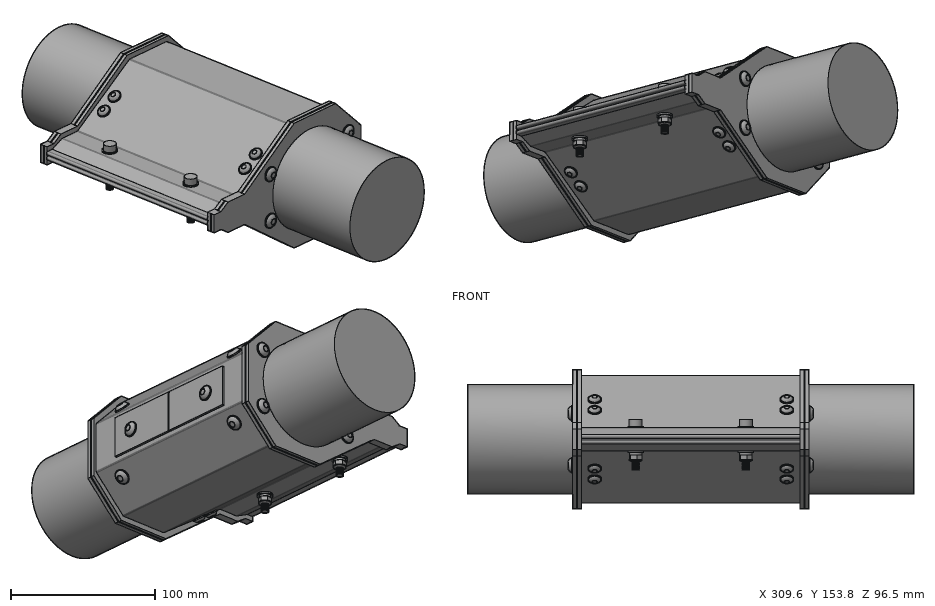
import cadquery as cq
import math

pipe_length = 309.58
pipe_diameter = 76.2

body_length = 151.6
body_half_height = 44.35
body_back_y = 50.0
body_crown_back_y = 24.5
body_crown_front_y = -13.7
neck_half_height = 8.0
neck_back_y = -67.0
neck_front_y = -82.7
lip_half_height = 3.3
lip_back_y = -92.9
nose_y = -98.8
lip_gap = 1.0
bend_radius = 1.2

plate_pack = 6.2
plate_half_height = 48.26
plate_back_y = 52.2
plate_crown_back_y = 26.2
plate_crown_front_y = -16.2
plate_neck_half_height = 11.77
plate_neck_back_y = -66.9
plate_neck_front_y = -83.9
plate_lip_half_height = 7.0
plate_lip_back_y = -91.1
plate_nose_y = -98.1
seam_width = 0.6
seam_depth = 0.3

large_button = (11.0, 10.13, 3.3, 4.0)
small_button = (9.5, 8.5, 2.9, 3.2)
rim_height = 0.9
dome_lean = 0.78
dome_rise = 0.65
socket_depth = 0.3

end_screw_places = [(38.5, 21.8), (-40.8, 18.0)]

slope_screw_x = 66.7
slope_screw_places_y = (-38.7, -49.6)
bevel_screw_x = 57.3
bevel_screw_y = 42.3

cover_length = 54.5
cover_gap = 1.0
cover_height = 30.0
cover_outer_y = 51.68
back_screw_x = 38.2

bolt_x = 38.2
bolt_y = -74.7
bolt_flange_diameter = 11.0
bolt_flange_height = 0.8
bolt_head_diameter = 9.0
bolt_head_top_z = 13.7
washer_diameter = 11.0
washer_height = 1.2
nut_collar_diameter = 8.5
nut_width = 8.0
nut_turn_degrees = 40
nut_top_z = -10.8
nut_bottom_z = -14.2
nut_ring_diameter = 9.0
nut_ring_height = 0.6
stud_diameter = 5.3
thread_root_diameter = 4.5
thread_top_z = -15.6
thread_pitch = 0.8
thread_turns = 7


def make_body():
    """Housing body: folded sheet profile ending in two rounded lips with a gap between them."""
    body_bevel_z = body_crown_back_y + body_half_height - body_back_y
    gap_half = lip_gap / 2
    lip_radius = (lip_half_height - gap_half) / 2
    lip_tip = (nose_y, gap_half + lip_radius)
    lip_round_y = nose_y + lip_radius
    body = (
        cq.Workplane("YZ")
        .moveTo(body_back_y, -body_bevel_z)
        .lineTo(body_back_y, body_bevel_z)
        .lineTo(body_crown_back_y, body_half_height)
        .lineTo(body_crown_front_y, body_half_height)
        .lineTo(neck_back_y, neck_half_height)
        .lineTo(neck_front_y, neck_half_height)
        .lineTo(lip_back_y, lip_half_height)
        .lineTo(lip_round_y, lip_half_height)
        .threePointArc(lip_tip, (lip_round_y, gap_half))
        .lineTo(lip_back_y, gap_half)
        .lineTo(lip_back_y, -gap_half)
        .lineTo(lip_round_y, -gap_half)
        .threePointArc((lip_tip[0], -lip_tip[1]), (lip_round_y, -lip_half_height))
        .lineTo(lip_back_y, -lip_half_height)
        .lineTo(neck_front_y, -neck_half_height)
        .lineTo(neck_back_y, -neck_half_height)
        .lineTo(body_crown_front_y, -body_half_height)
        .lineTo(body_crown_back_y, -body_half_height)
        .close()
        .extrude(body_length / 2, both=True)
    )
    folds = cq.selectors.BoxSelector(
        (-body_length, lip_back_y + bend_radius, -body_half_height - bend_radius),
        (body_length, body_back_y + bend_radius, body_half_height + bend_radius),
    )
    return body.edges("|X").edges(folds).fillet(bend_radius)


def plate_outline():
    """Closed YZ outline of an end plate, mirrored about Z = 0."""
    upper_points = [
        (plate_back_y, plate_crown_back_y + plate_half_height - plate_back_y),
        (plate_crown_back_y, plate_half_height),
        (plate_crown_front_y, plate_half_height),
        (plate_neck_back_y, plate_neck_half_height),
        (plate_neck_front_y, plate_neck_half_height),
        (plate_lip_back_y, plate_lip_half_height),
        (plate_nose_y, plate_lip_half_height),
    ]
    lower_points = [(y, -z) for y, z in reversed(upper_points)]
    return cq.Workplane("YZ").polyline(upper_points + lower_points).close()


def flat_stretch(front_y, back_y):
    """Block over the full plate height where the seam is closed."""
    block = cq.Workplane("YZ").center((front_y + back_y) / 2, 0)
    return block.rect(back_y - front_y, 2 * plate_half_height).extrude(seam_width)


def make_end_plate():
    """End plate pack standing on the +X end of the body."""
    pack = plate_outline().extrude(plate_pack)
    core = plate_outline().offset2D(-seam_depth).extrude(seam_width)
    seam = plate_outline().extrude(seam_width).cut(core)
    seam = seam.cut(flat_stretch(plate_neck_front_y, plate_neck_back_y))
    seam = seam.cut(flat_stretch(plate_nose_y + seam_depth, plate_lip_back_y))
    plate = pack.cut(seam.translate(((plate_pack - seam_width) / 2, 0, 0)))
    return plate.translate((body_length / 2, 0, 0))


def button_head(size, origin, normal):
    """Rimmed domed screw head with a hex socket, seated at origin and facing along normal."""
    rim_diameter, dome_diameter, height, socket_size = size
    rim_radius = rim_diameter / 2
    dome_radius = dome_diameter / 2
    socket_corners = socket_size / math.cos(math.pi / 6)
    top_radius = socket_corners / 2
    dome_mid = (dome_lean * dome_radius, rim_height + dome_rise * (height - rim_height))
    dome = (
        cq.Workplane("XZ")
        .lineTo(rim_radius, 0)
        .lineTo(rim_radius, rim_height)
        .lineTo(dome_radius, rim_height)
        .threePointArc(dome_mid, (top_radius, height))
        .lineTo(0, height)
        .close()
        .revolve(360, (0, 0, 0), (0, 1, 0))
    )
    socket = cq.Workplane("XY").workplane(offset=height - socket_depth).polygon(6, socket_corners)
    head = dome.cut(socket.extrude(socket_depth)).val()
    x_direction = (0, 1, 0) if abs(normal[0]) > 0 else (1, 0, 0)
    seat = cq.Plane(origin=origin, xDir=x_direction, normal=normal)
    return cq.Workplane(head.moved(cq.Location(seat)))


def make_end_screws():
    """Screws on the outer faces of both end plates."""
    seat_x = body_length / 2 + plate_pack
    return [
        button_head(large_button, (side * seat_x, y, flip * z), (side, 0, 0))
        for side in (-1, 1)
        for flip in (-1, 1)
        for y, z in end_screw_places
    ]


def make_slope_screws():
    """Paired screws near both ends of the upper and lower front slopes."""
    rise = (body_half_height - neck_half_height) / (body_crown_front_y - neck_back_y)
    return [
        button_head(
            small_button,
            (side * slope_screw_x, y, flip * (neck_half_height + rise * (y - neck_back_y))),
            (0, -rise, flip),
        )
        for side in (-1, 1)
        for flip in (-1, 1)
        for y in slope_screw_places_y
    ]


def make_bevel_screws():
    """Screws on the 45 degree back bevels, above and below."""
    seat_z = body_crown_back_y + body_half_height - bevel_screw_y
    return [
        button_head(large_button, (side * bevel_screw_x, bevel_screw_y, flip * seat_z), (0, 1, flip))
        for side in (-1, 1)
        for flip in (-1, 1)
    ]


def make_back_covers():
    """Two strips side by side on the back face, each with its screw."""
    thickness = cover_outer_y - body_back_y
    strip = cq.Workplane("XY").box(cover_length, thickness, cover_height)
    parts = []
    for side in (-1, 1):
        centre_x = side * (cover_gap + cover_length) / 2
        parts.append(strip.translate((centre_x, body_back_y + thickness / 2, 0)))
        parts.append(button_head(large_button, (side * back_screw_x, cover_outer_y, 0), (0, 1, 0)))
    return parts


def make_clamp_bolt():
    """Flanged bolt through the neck with washer, hex nut and ring-grooved stud end."""
    flange_top_z = neck_half_height + bolt_flange_height
    washer_bottom_z = -neck_half_height - washer_height
    ring_bottom_z = nut_bottom_z - nut_ring_height
    crest_radius = stud_diameter / 2
    root_radius = thread_root_diameter / 2
    outline = [
        (0, bolt_head_top_z),
        (bolt_head_diameter / 2, bolt_head_top_z),
        (bolt_head_diameter / 2, flange_top_z),
        (bolt_flange_diameter / 2, flange_top_z),
        (bolt_flange_diameter / 2, neck_half_height),
        (crest_radius, neck_half_height),
        (crest_radius, -neck_half_height),
        (washer_diameter / 2, -neck_half_height),
        (washer_diameter / 2, washer_bottom_z),
        (nut_collar_diameter / 2, washer_bottom_z),
        (nut_collar_diameter / 2, nut_top_z),
        (crest_radius, nut_top_z),
        (crest_radius, nut_bottom_z),
        (nut_ring_diameter / 2, nut_bottom_z),
        (nut_ring_diameter / 2, ring_bottom_z),
        (crest_radius, thread_top_z),
    ]
    for turn in range(thread_turns):
        crest_z = thread_top_z - turn * thread_pitch
        outline.append((root_radius, crest_z - thread_pitch / 2))
        outline.append((crest_radius, crest_z - thread_pitch))
    outline.append((0, thread_top_z - thread_turns * thread_pitch))
    bolt = cq.Workplane("XZ").polyline(outline).close().revolve(360, (0, 0, 0), (0, 1, 0))
    nut_corners = nut_width / math.cos(math.pi / 6)
    nut = cq.Workplane("XY").workplane(offset=nut_bottom_z).polygon(6, nut_corners)
    nut = nut.extrude(nut_top_z - nut_bottom_z).rotate((0, 0, 0), (0, 0, 1), nut_turn_degrees)
    return bolt.union(nut).translate((0, bolt_y, 0))


pipe = cq.Workplane("YZ").circle(pipe_diameter / 2).extrude(pipe_length / 2, both=True)
end_plate = make_end_plate()
clamp_bolt = make_clamp_bolt()
fitted_parts = [pipe, end_plate, end_plate.mirror("YZ")]
fitted_parts += make_end_screws() + make_slope_screws() + make_bevel_screws()
fitted_parts += make_back_covers()
fitted_parts += [clamp_bolt.translate((side * bolt_x, 0, 0)) for side in (-1, 1)]

result = make_body()
for part in fitted_parts:
    result = result.union(part)